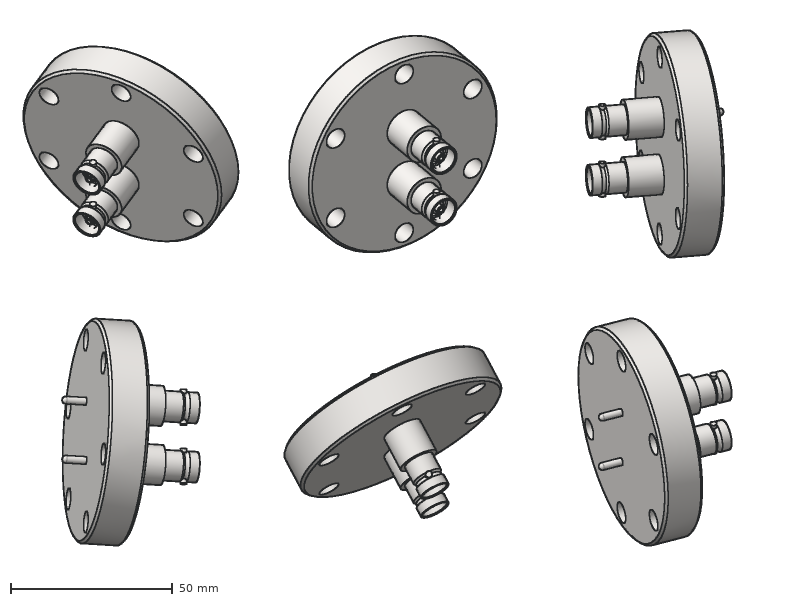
import cadquery as cq
import math

flange_dia = 69.85
flange_thickness = 12.7
flange_chamfer = 0.85

bolt_count = 6
bolt_hole_dia = 6.7
bolt_circle_dia = 58.7

connector_spacing = 19.1
collar_radius = 6.3
collar_length = 11.25
barrel_radius = 4.8
barrel_length = 11.2
rim_chamfer = 0.15

groove_setback = 4.2
groove_width = 2.1
groove_depth = 0.5
lug_dia = 2.1
lug_span = 11.1

mouth_radius = 4.2
mouth_chamfer = 0.3
mouth_depth = 4.55
throat_radius = 3.6
taper_length = 0.3
socket_depth = 7.7

insulator_radius = 3.15
insulator_setback = 7.0
sleeve_radius = 2.3
sleeve_setback = 3.5
sleeve_rounding = 0.4
flare_radius = 0.6
contact_radius = 1.3
contact_setback = 1.55
contact_chamfer = 0.15
contact_hole_radius = 0.7
contact_hole_depth = 3.5

pin_radius = 1.2
pin_length = 7.55

collar_end = -collar_length
rim = collar_end - barrel_length
lug_y = rim + groove_setback


def revolve_about_y(profile):
    """Turn a closed (radius, y) profile around the Y axis."""
    return profile.close().revolve(360, (0, 0, 0), (0, 1, 0))


def make_flange():
    disc = cq.Workplane("XZ").circle(flange_dia / 2).extrude(-flange_thickness)
    disc = disc.faces("<Y or >Y").chamfer(flange_chamfer)
    holes = (
        cq.Workplane("XZ")
        .polarArray(bolt_circle_dia / 2, 90, 360, bolt_count)
        .circle(bolt_hole_dia / 2)
        .extrude(-flange_thickness)
    )
    return disc.cut(holes)


def make_shell():
    """Collar and barrel with the groove and the hollow socket."""
    groove_start = lug_y + groove_width / 2
    groove_end = lug_y - groove_width / 2
    return revolve_about_y(
        cq.Workplane("XY")
        .moveTo(0, 0)
        .lineTo(collar_radius, 0)
        .lineTo(collar_radius, collar_end)
        .lineTo(barrel_radius, collar_end)
        .lineTo(barrel_radius, groove_start)
        .threePointArc((barrel_radius - groove_depth, lug_y), (barrel_radius, groove_end))
        .lineTo(barrel_radius, rim + rim_chamfer)
        .lineTo(barrel_radius - rim_chamfer, rim)
        .lineTo(mouth_radius + mouth_chamfer, rim)
        .lineTo(mouth_radius, rim + mouth_chamfer)
        .lineTo(mouth_radius, rim + mouth_depth)
        .lineTo(throat_radius, rim + mouth_depth + taper_length)
        .lineTo(throat_radius, rim + socket_depth)
        .lineTo(0, rim + socket_depth)
    )


def make_core():
    """Insulator with a flared, rounded sleeve and a hollow contact."""
    flare_outer = sleeve_radius + flare_radius
    flare_center_y = rim + insulator_setback - flare_radius
    flare_offset = flare_radius * math.sqrt(0.5)
    flare_mid = (flare_outer - flare_offset, flare_center_y + flare_offset)
    face_radius = sleeve_radius - sleeve_rounding
    rounding_center_y = rim + sleeve_setback + sleeve_rounding
    rounding_offset = sleeve_rounding * math.sqrt(0.5)
    rounding_mid = (face_radius + rounding_offset, rounding_center_y - rounding_offset)
    return revolve_about_y(
        cq.Workplane("XY")
        .moveTo(0, rim + socket_depth)
        .lineTo(insulator_radius, rim + socket_depth)
        .lineTo(insulator_radius, rim + insulator_setback)
        .lineTo(flare_outer, rim + insulator_setback)
        .threePointArc(flare_mid, (sleeve_radius, flare_center_y))
        .lineTo(sleeve_radius, rounding_center_y)
        .threePointArc(rounding_mid, (face_radius, rim + sleeve_setback))
        .lineTo(contact_radius, rim + sleeve_setback)
        .lineTo(contact_radius, rim + contact_setback + contact_chamfer)
        .lineTo(contact_radius - contact_chamfer, rim + contact_setback)
        .lineTo(contact_hole_radius, rim + contact_setback)
        .lineTo(contact_hole_radius, rim + contact_hole_depth)
        .lineTo(0, rim + contact_hole_depth)
    )


def make_lugs():
    """Two lugs sticking out radially along +Z and -Z, clear of the socket."""
    lug_bar = (
        cq.Workplane("XY", origin=(0, lug_y, -lug_span / 2))
        .circle(lug_dia / 2)
        .extrude(lug_span)
    )
    socket_core = cq.Workplane("XZ").circle(mouth_radius).extrude(-rim)
    return lug_bar.cut(socket_core)


def make_pin():
    tip = flange_thickness + pin_length
    pin = cq.Workplane("XZ", origin=(0, flange_thickness, 0)).circle(pin_radius)
    pin = pin.extrude(-(pin_length - pin_radius))
    dome = cq.Workplane("XY").sphere(pin_radius).translate((0, tip - pin_radius, 0))
    return pin.union(dome)


def make_connector():
    return make_shell().union(make_core()).union(make_lugs()).union(make_pin())


result = make_flange()
for side in (1, -1):
    connector = make_connector().translate((0, 0, side * connector_spacing / 2))
    result = result.union(connector)